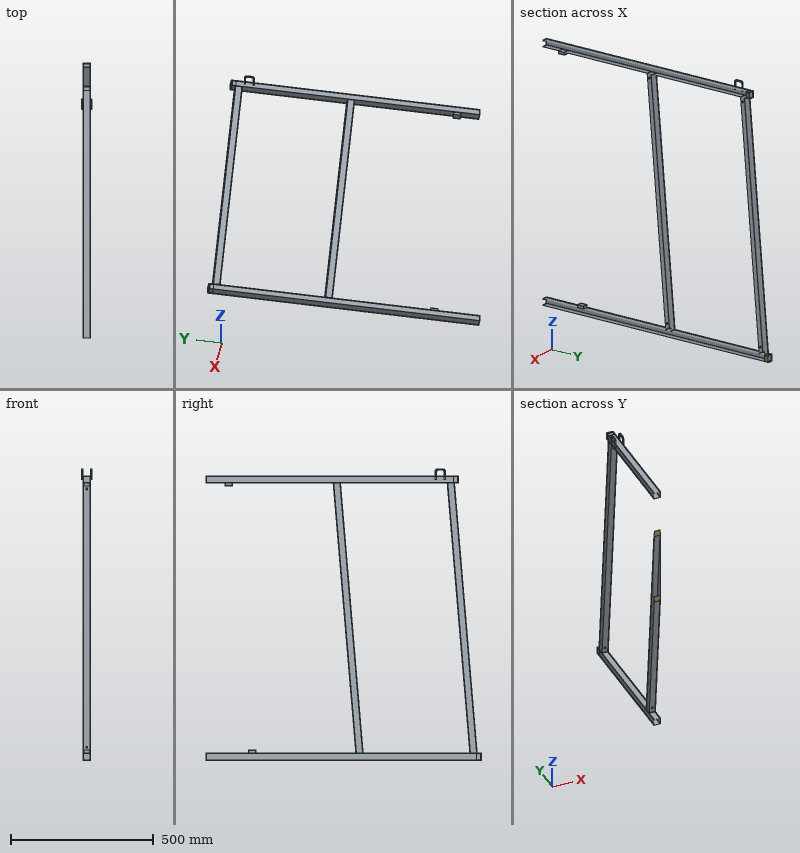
import math

import cadquery as cq

frame_length = 963.0
frame_height = 1020.0

tube_size = 26.0
tube_wall = 2.0
corner_radius = 1.5
bore_size = tube_size - 2 * tube_wall

flange_thickness = 3.6
plug_length = 13.0
plug_edge_radius = 1.0

top_rail_top = 996.0
top_rail_base = top_rail_top - tube_size
bottom_rail_length = frame_length - flange_thickness
top_rail_length = 880.0

post_count = 2
post_trim = tube_size
post_gap = top_rail_base - tube_size
post_lean = 4.8
post_spacing = 399.0
rear_post_foot = 936.0
vent_diameter = 6.0
vent_offset = 20.0

block_width = 20.0
block_length = 26.0
block_height = 10.0
top_block_y = 80.0
bottom_block_y = 161.0

wire_diameter = 5.0
handle_span = 32.0
handle_bend = 8.0
handle_foot = 983.0
handle_y = 819.0

lean_slope = math.tan(math.radians(post_lean))


def square_tube(length):
    """Square tube along +Z, centred on the origin."""
    outside = cq.Workplane("XY").rect(tube_size, tube_size).extrude(length)
    outside = outside.edges("|Z").fillet(corner_radius)
    return outside.cut(cq.Workplane("XY").rect(bore_size, bore_size).extrude(length))


def make_rail(length, base):
    """Rail from Y = 0 towards +Y with its lower face at the height `base`."""
    rail = square_tube(length).rotate((0, 0, 0), (1, 0, 0), -90)
    return rail.translate((0, 0, base + tube_size / 2))


def make_post(foot):
    """Leaning post between the rails; `foot` is where its axis meets the bottom rail."""
    post = square_tube(post_gap + 2 * post_trim).translate((0, 0, -post_trim))
    post = post.rotate((0, 0, 0), (1, 0, 0), post_lean).translate((0, foot, tube_size))
    space = cq.Workplane("XY", origin=(0, foot, tube_size)).rect(post_gap, post_gap).extrude(post_gap)
    post = post.intersect(space)
    for rise in (vent_offset, post_gap - vent_offset):
        axis_y = foot - rise * lean_slope
        centre = (0, axis_y, tube_size + rise)
        vent = cq.Workplane("XZ", origin=centre).circle(vent_diameter / 2).extrude(tube_size)
        post = post.cut(vent)
    return post


def make_cap(rail_length, base):
    """End cap: a flange on the end of the rail and a plug fitting its bore."""
    centre = (0, rail_length, base + tube_size / 2)
    flange = cq.Workplane("XZ", origin=centre).rect(tube_size, tube_size).extrude(-flange_thickness)
    flange = flange.edges("|Y").fillet(corner_radius)
    plug = cq.Workplane("XZ", origin=centre).rect(bore_size, bore_size).extrude(plug_length)
    plug = plug.edges("|Y").fillet(plug_edge_radius)
    return flange.union(plug)


def make_block(y, base):
    """Locating block standing on the height `base`."""
    return cq.Workplane("XY", origin=(0, y, base)).rect(block_width, block_length).extrude(block_height)


def make_handle(side):
    """U-shaped wire handle against the rail face on the given side (-1 or +1)."""
    x = side * (tube_size + wire_diameter) / 2
    top = frame_height - wire_diameter / 2
    half = handle_span / 2
    inset = handle_bend * (1 - math.sqrt(0.5))
    path = (
        cq.Workplane("YZ", origin=(x, handle_y, 0))
        .moveTo(-half, handle_foot)
        .lineTo(-half, top - handle_bend)
        .threePointArc((-half + inset, top - inset), (-half + handle_bend, top))
        .lineTo(half - handle_bend, top)
        .threePointArc((half - inset, top - inset), (half, top - handle_bend))
        .lineTo(half, handle_foot)
    )
    start = cq.Workplane("XY", origin=(x, handle_y - half, handle_foot))
    return start.circle(wire_diameter / 2).sweep(path)


bottom_rail = make_rail(bottom_rail_length, 0)
top_rail = make_rail(top_rail_length, top_rail_base)
posts = [make_post(rear_post_foot - i * post_spacing) for i in range(post_count)]
caps = [make_cap(bottom_rail_length, 0), make_cap(top_rail_length, top_rail_base)]
blocks = [make_block(bottom_block_y, tube_size), make_block(top_block_y, top_rail_base - block_height)]
handles = [make_handle(side) for side in (-1, 1)]

bodies = [bottom_rail, top_rail, *posts, *caps, *blocks, *handles]
result = cq.Compound.makeCompound([body.val() for body in bodies])